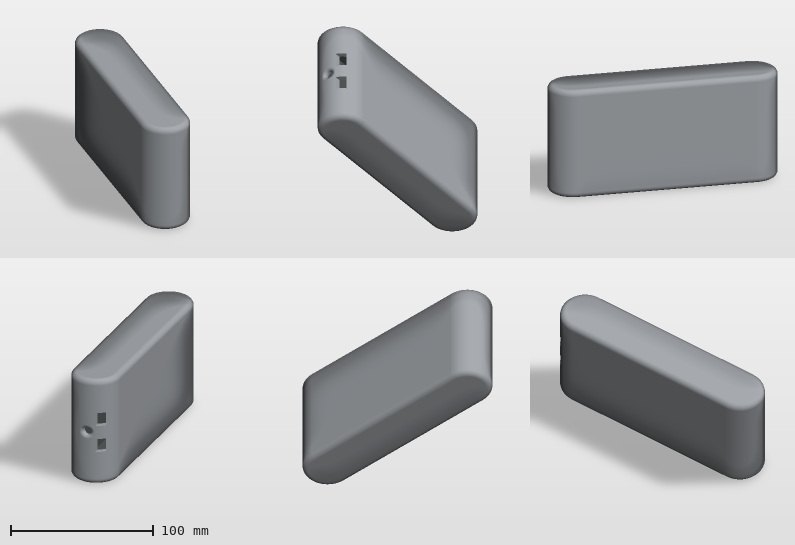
import cadquery as cq

LENGTH = 164.75
WIDTH = 35.25
HEIGHT = 80.0
RIM_RADIUS = 4.0

WALL = 4.0

PORT_DIAMETER = 6.0
PORT_LIP_RADIUS = 2.0

WINDOW_WIDTH = 6.5
WINDOW_HEIGHT = 10.0
WINDOW_INNER_OFFSET = 6.0
WINDOW_GAP = 10.0

END_X = -LENGTH / 2
CUT_DEPTH = WIDTH / 2


def stadium(length, width, height):
    """Stadium prism centred on the origin, long side on X and extruded on Z."""
    return (
        cq.Workplane("XY")
        .workplane(offset=-height / 2)
        .slot2D(length, width)
        .extrude(height)
    )


def make_shell():
    """Closed case with rounded top and bottom rims and a sealed cavity."""
    outer = stadium(LENGTH, WIDTH, HEIGHT).faces("|Z").edges().fillet(RIM_RADIUS)
    cavity = stadium(LENGTH - 2 * WALL, WIDTH - 2 * WALL, HEIGHT - 2 * WALL)
    return outer.cut(cavity)


def cut_port(body):
    """Round hole along X into the cavity, with a rounded outer lip."""
    drill = (
        cq.Workplane("YZ")
        .workplane(offset=END_X)
        .circle(PORT_DIAMETER / 2)
        .extrude(CUT_DEPTH)
    )
    mouth_reach = PORT_DIAMETER
    mouth_zone = cq.selectors.BoxSelector(
        (END_X - WALL / 2, -mouth_reach, -mouth_reach),
        (END_X + WALL / 2, mouth_reach, mouth_reach),
    )
    return body.cut(drill).edges(mouth_zone).fillet(PORT_LIP_RADIUS)


def cut_windows(body):
    """Two windows along X into the cavity, mirrored about the XY mid-plane."""
    centre_y = -(WINDOW_INNER_OFFSET + WINDOW_WIDTH / 2)
    centre_z = (WINDOW_GAP + WINDOW_HEIGHT) / 2
    windows = (
        cq.Workplane("YZ")
        .workplane(offset=END_X)
        .pushPoints([(centre_y, -centre_z), (centre_y, centre_z)])
        .rect(WINDOW_WIDTH, WINDOW_HEIGHT)
        .extrude(CUT_DEPTH)
    )
    return body.cut(windows)


result = cut_windows(cut_port(make_shell()))